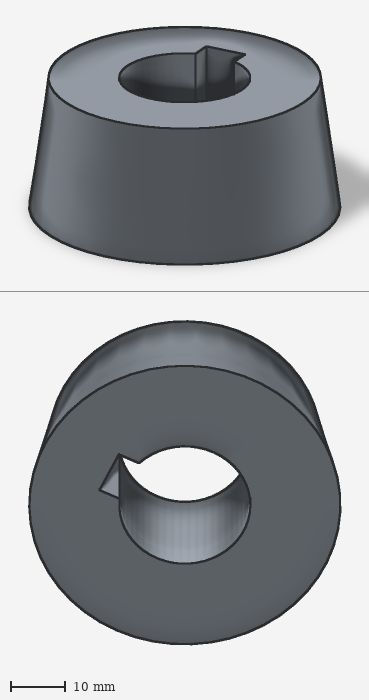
import cadquery as cq

base_diameter = 57.0
top_diameter = 49.9
height = 25.4

bore_diameter = 24.0
keyway_width = 8.1
keyway_reach = 15.4


def tapered_body():
    half_section = [
        (0, 0),
        (base_diameter / 2, 0),
        (top_diameter / 2, height),
        (0, height),
    ]
    return cq.Workplane("XZ").polyline(half_section).close().revolve(360, (0, 0), (0, 1))


def keyed_bore():
    bore = cq.Workplane("XY").circle(bore_diameter / 2).extrude(height)
    keyway = cq.Workplane("XY").box(keyway_width, keyway_reach, height, centered=(True, False, False))
    return bore.union(keyway)


result = tapered_body().cut(keyed_bore())